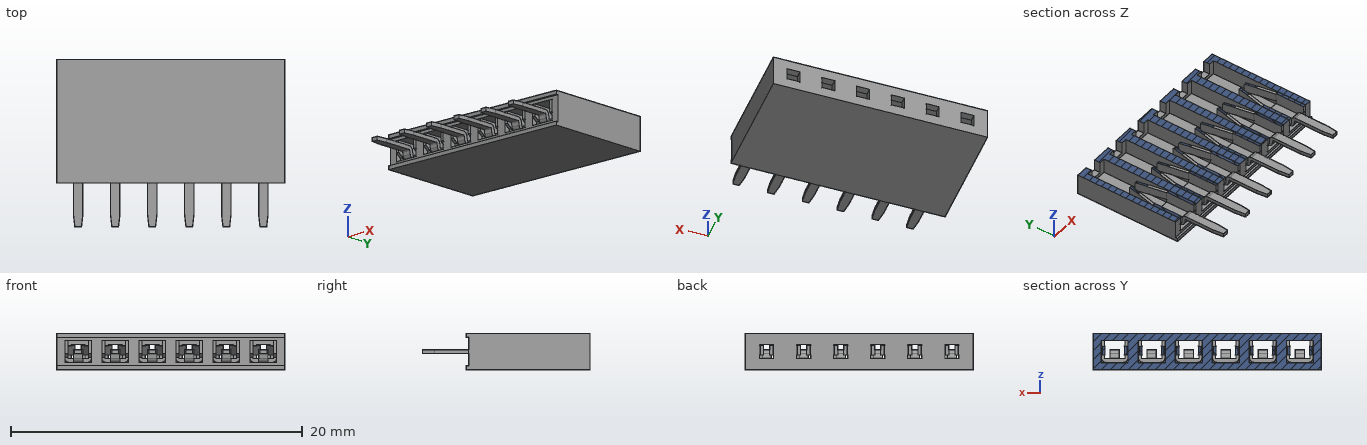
import cadquery as cq
import math


housing_length = 15.64
housing_depth = 8.5
housing_height = 2.5
lip_height = 0.28
lip_depth = 0.17
contact_count = 6
end_margin = 1.47
pitch = (housing_length - 2 * end_margin) / (contact_count - 1)
cavity_width = 1.83
cavity_height = 1.5
rear_wall = 0.5
entry_size = 0.94
cavity_end = housing_depth - rear_wall

wall_thickness = 0.22
sheet_thickness = 0.28
corner_radius = 0.31
base_front = 0.58
channel_end = 2.5
slope_top = -0.13
slope_bottom = -0.42
half_channel = cavity_width / 2
floor_bottom = -cavity_height / 2

finger_rise = 2.35
finger_gap = 0.4
finger_bottom = -0.25
finger_root_top = 0.36
finger_tip_top = 0.44

pin_width = 0.65
pin_reach = 3.0
tip_width = 0.47
tip_length = 0.83
strap_angle = 10.0
strap_front = 0.17
upper_bend = 0.06
lower_bend = 0.06


def contact_places():
    """X positions of the contacts."""
    first = end_margin - housing_length / 2
    return [first + number * pitch for number in range(contact_count)]


def block(x_range, y_range, z_range):
    """Box between the given limits."""
    sizes = [limits[1] - limits[0] for limits in (x_range, y_range, z_range)]
    return cq.Workplane("XY").box(*sizes, centered=False).translate((x_range[0], y_range[0], z_range[0]))


def make_housing():
    """Block with a recessed pin side and one cavity and entry opening for each contact."""
    half_length = housing_length / 2
    half_height = housing_height / 2
    body = block((-half_length, half_length), (0, housing_depth), (-half_height, half_height))
    recess_top = half_height - lip_height
    body = body.cut(block((-half_length, half_length), (0, lip_depth), (-recess_top, recess_top)))
    half_entry = entry_size / 2
    for x in contact_places():
        cavity = block(
            (x - half_channel, x + half_channel), (0, cavity_end), (floor_bottom, -floor_bottom)
        )
        entry = block((x - half_entry, x + half_entry), (0, housing_depth), (-half_entry, half_entry))
        body = body.cut(cavity).cut(entry)
    return body


def make_channel():
    """Base and two side walls, whose lower front ends slope back to the base."""
    side_profile = [
        (lip_depth, -floor_bottom),
        (channel_end, -floor_bottom),
        (channel_end, floor_bottom),
        (base_front, floor_bottom),
        (base_front, slope_bottom),
        (lip_depth, slope_top),
    ]
    channel = cq.Workplane("YZ").polyline(side_profile).close().extrude(half_channel, both=True)
    channel = channel.edges("|Y and <Z").fillet(corner_radius)
    half_inside = half_channel - wall_thickness
    inside = block(
        (-half_inside, half_inside), (0, channel_end), (floor_bottom + sheet_thickness, -floor_bottom)
    )
    return channel.cut(inside)


def make_finger(side):
    """Spring finger continuing a side wall and leaning inward; side is -1 or 1."""
    tip = channel_end + finger_rise
    root_outside = half_channel
    root_inside = half_channel - wall_thickness
    tip_inside = finger_gap / 2
    tip_outside = tip_inside + wall_thickness
    root_start = channel_end - wall_thickness
    plan = [
        (side * root_outside, root_start),
        (side * root_outside, channel_end),
        (side * tip_outside, tip),
        (side * tip_inside, tip),
        (side * root_inside, channel_end),
        (side * root_inside, root_start),
    ]
    strip = cq.Workplane("XY").polyline(plan).close().extrude(cavity_height / 2, both=True)
    elevation = [
        (root_start, finger_bottom),
        (tip, finger_bottom),
        (tip, finger_tip_top),
        (channel_end, finger_root_top),
        (root_start, finger_root_top),
    ]
    outline = cq.Workplane("YZ").polyline(elevation).close().extrude(half_channel, both=True)
    return strip.intersect(outline)


def make_pin():
    """Tapered flat pin whose inner end bends down as a strap and then back along the base."""
    lean = math.tan(math.radians(strap_angle))
    strap_run = sheet_thickness / math.cos(math.radians(strap_angle))
    pin_top = sheet_thickness / 2
    floor_top = floor_bottom + sheet_thickness

    def front_point(z):
        return (strap_front - (z + pin_top) * lean, z)

    def back_point(z):
        return (strap_front + strap_run - (z + pin_top) * lean, z)

    profile = [
        (-pin_reach, -pin_top),
        front_point(-pin_top),
        front_point(floor_bottom),
        (channel_end, floor_bottom),
        (channel_end, floor_top),
        back_point(floor_top),
        back_point(pin_top),
        (-pin_reach, pin_top),
    ]
    strip = cq.Workplane("YZ").polyline(profile).close().extrude(pin_width / 2, both=True)
    bends = [
        (front_point(-pin_top), upper_bend),
        (back_point(pin_top), upper_bend + sheet_thickness),
        (back_point(floor_top), lower_bend),
        (front_point(floor_bottom), lower_bend + sheet_thickness),
    ]
    for corner, radius in bends:
        strip = strip.edges(cq.NearestToPointSelector((0, *corner))).fillet(radius)

    taper_start = tip_length - pin_reach
    plan = [
        (-tip_width / 2, -pin_reach),
        (tip_width / 2, -pin_reach),
        (pin_width / 2, taper_start),
        (pin_width / 2, channel_end),
        (-pin_width / 2, channel_end),
        (-pin_width / 2, taper_start),
    ]
    return strip.intersect(cq.Workplane("XY").polyline(plan).close().extrude(housing_height, both=True))


def make_contact():
    """One-piece sheet-metal contact centred on X = 0."""
    contact = make_channel().union(make_pin())
    for side in (-1, 1):
        contact = contact.union(make_finger(side))
    return contact


housing = make_housing()
contact = make_contact()
contacts = [contact.translate((x, 0, 0)).val() for x in contact_places()]

result = cq.Compound.makeCompound([housing.val(), *contacts])